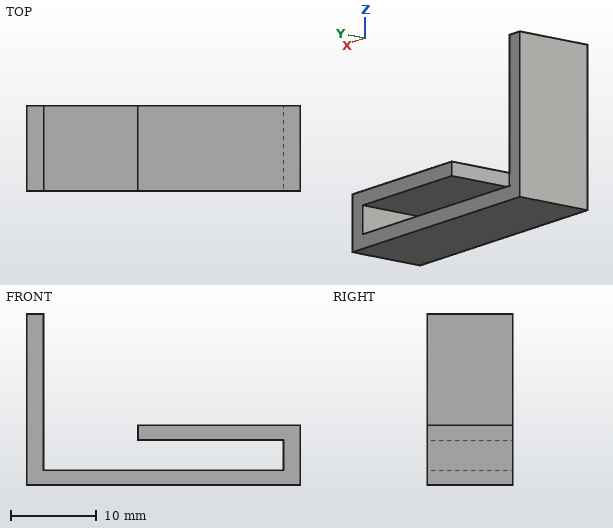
import cadquery as cq

length = 32.0
width = 10.0
height = 20.0

upright_thickness = 2.0
flat_thickness = 1.75

lip_length = 19.0
slot_height = 3.5

lip_bottom = flat_thickness + slot_height
lip_top = lip_bottom + flat_thickness
lip_start = length - lip_length
slot_end = length - upright_thickness

profile = [
    (0, 0),
    (length, 0),
    (length, lip_top),
    (lip_start, lip_top),
    (lip_start, lip_bottom),
    (slot_end, lip_bottom),
    (slot_end, flat_thickness),
    (upright_thickness, flat_thickness),
    (upright_thickness, height),
    (0, height),
]

result = cq.Workplane("XZ").polyline(profile).close().extrude(-width)